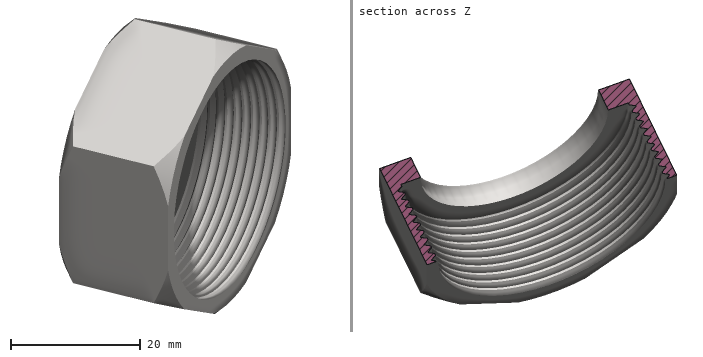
import cadquery as cq
import math

NUT_LENGTH = 19.0
ACROSS_FLATS = 42.0
CORNER_CHAMFER = 2.5
LIP_BORE_DIAMETER = 31.5
LIP_LENGTH = 4.0
THREAD_MINOR_DIAMETER = 38.16
THREAD_MAJOR_DIAMETER = 40.0
THREAD_PITCH = 1.5
CREST_WIDTH = THREAD_PITCH / 4

ACROSS_CORNERS = ACROSS_FLATS / math.cos(math.radians(30))
HALF_LENGTH = NUT_LENGTH / 2
LIP_END_X = -HALF_LENGTH + LIP_LENGTH
THREADED_LENGTH = NUT_LENGTH - LIP_LENGTH
GROOVE_COUNT = round(THREADED_LENGTH / THREAD_PITCH)


def revolve_about_x(points):
    """Solid of revolution about the X axis from (x, radius) points."""
    profile = cq.Workplane("XY").polyline(points).close()
    return profile.revolve(360, (0, 0, 0), (1, 0, 0))


def cylinder_along_x(diameter, start_x, length):
    """Cylinder on the X axis, from start_x towards +X."""
    return cq.Workplane("YZ").workplane(offset=start_x).circle(diameter / 2).extrude(length)


def hexagonal_prism():
    """Hexagonal prism with corners at +Z and -Z and flats at +Y and -Y."""
    end_plane = cq.Workplane("YZ").workplane(offset=-HALF_LENGTH)
    return end_plane.transformed(rotate=(0, 0, 90)).polygon(6, ACROSS_CORNERS).extrude(NUT_LENGTH)


def corner_envelope():
    """Cylinder through the hexagon corners with a 45 degree chamfer at each end."""
    cylinder = cylinder_along_x(ACROSS_CORNERS, -HALF_LENGTH, NUT_LENGTH)
    return cylinder.faces("<X or >X").chamfer(CORNER_CHAMFER)


def stepped_bore():
    """Lip bore through the nut, opened to the thread minor diameter behind the lip."""
    lip_bore = cylinder_along_x(LIP_BORE_DIAMETER, -HALF_LENGTH, NUT_LENGTH)
    thread_bore = cylinder_along_x(THREAD_MINOR_DIAMETER, LIP_END_X, THREADED_LENGTH)
    return lip_bore.union(thread_bore)


def thread_groove(start_x):
    """Disc with a V-shaped rim that cuts one ring groove from start_x towards +X."""
    mouth_width = THREAD_PITCH - CREST_WIDTH
    end_x = start_x + mouth_width
    minor_radius = THREAD_MINOR_DIAMETER / 2
    return revolve_about_x([
        (start_x, 0),
        (start_x, minor_radius),
        (start_x + mouth_width / 2, THREAD_MAJOR_DIAMETER / 2),
        (end_x, minor_radius),
        (end_x, 0),
    ])


def cut_thread(body):
    """Cut the ring grooves one pitch apart, the last one ending at the +X face."""
    first_groove_x = LIP_END_X + CREST_WIDTH
    for index in range(GROOVE_COUNT):
        body = body.cut(thread_groove(first_groove_x + index * THREAD_PITCH))
    return body


nut_blank = hexagonal_prism().intersect(corner_envelope())
result = cut_thread(nut_blank.cut(stepped_bore()))